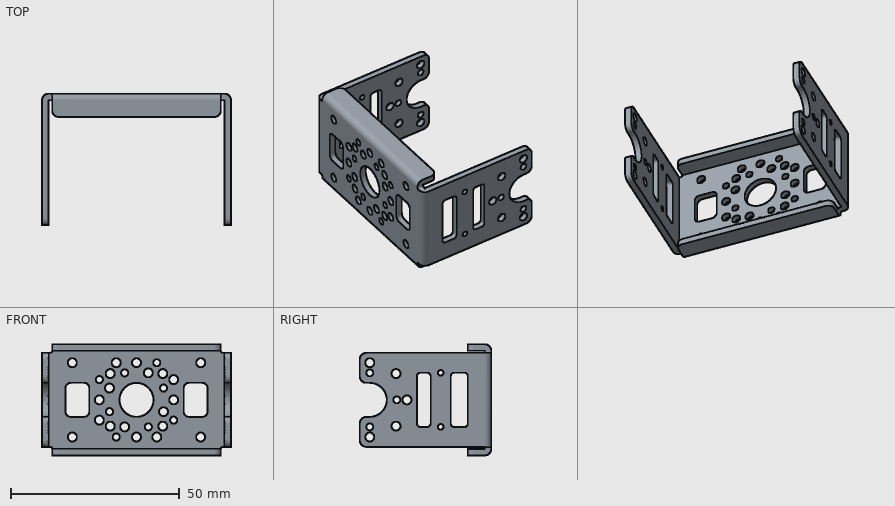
import math

import cadquery as cq


thickness = 2.0
width = 56.0
height = 33.0
arm_reach = 39.0
flange_reach = 7.0
flange_length = 50.0
bend_radius = thickness

horn_radius = 14.0
arm_height = 2 * horn_radius
horn_y = -36.0
horn_notch_radius = 5.0
corner_radius = 2.0
relief_radius = 0.4

horn_screw_diameter = 2.6
horn_screw_circle = 11.0
horn_pin_diameter = 2.0
horn_pin_circle = 8.0

arm_slot_height = 16.0
arm_slot_corner = 1.0
rear_slot_y = -9.5
rear_slot_width = 5.0
front_slot_y = -20.0
front_slot_width = 4.0
arm_tap_y = -15.0
arm_tap_z = 8.0
arm_tap_diameter = 1.6

web_bore_diameter = 10.0
web_hole_diameter = 2.6
web_tap_diameter = 2.05
window_x = 17.5
window_width = 7.0
window_height = 10.0
window_corner = 1.5
grid_reach = 11.0
grid_offset = 6.0
mount_x = 19.0
inner_long = 8.0
inner_short = 3.5

arm_outer_x = width / 2
arm_inner_x = arm_outer_x - thickness
flange_inner_z = height / 2 - thickness
half_arm = arm_height / 2


def box_between(x_range, y_range, z_range):
    """Axis-aligned box spanning three (low, high) ranges."""
    spans = [high - low for low, high in (x_range, y_range, z_range)]
    corner = (x_range[0], y_range[0], z_range[0])
    return cq.Workplane("XY").box(*spans, centered=False).translate(corner)


def along_y(points, diameter):
    """Round cutters through the web at (x, z) points."""
    web_outer_face = cq.Workplane("XZ")
    return web_outer_face.pushPoints(points).circle(diameter / 2).extrude(thickness)


def along_x(points, diameter):
    """Round cutters through both arms at (y, z) points."""
    outer_plane = cq.Workplane("YZ", origin=(-arm_outer_x, 0, 0))
    return outer_plane.pushPoints(points).circle(diameter / 2).extrude(width)


def quarter_turns(x, z):
    """A point repeated four times about the Y axis."""
    return [(x, z), (-z, x), (-x, -z), (z, -x)]


def make_arms():
    """Both arms, cut from one full-width bar with the arm's side outline."""
    blank = box_between(
        (-arm_outer_x, arm_outer_x), (-arm_reach, 0), (-half_arm, half_arm)
    )
    rounded_end = cq.Workplane("YZ", origin=(-arm_outer_x, 0, 0)).center(horn_y, 0)
    rounded_end = rounded_end.circle(horn_radius).extrude(width)
    rear_part = box_between((-arm_outer_x, arm_outer_x), (horn_y, 0), (-half_arm, half_arm))
    profile = blank.intersect(rounded_end.union(rear_part))
    notch = along_x([(horn_y, 0)], 2 * horn_notch_radius)
    notch_mouth = box_between(
        (-arm_outer_x, arm_outer_x),
        (-arm_reach, horn_y),
        (-horn_notch_radius, horn_notch_radius),
    )
    profile = profile.cut(notch.union(notch_mouth))
    profile = profile.faces("<Y").edges("|X").fillet(corner_radius)
    profile = profile.edges("|Z and >Y").fillet(bend_radius)
    between_arms = box_between(
        (-arm_inner_x, arm_inner_x), (-arm_reach, -thickness), (-half_arm, half_arm)
    )
    return profile.cut(between_arms)


def make_flanges():
    """Top and bottom flanges together with the strip of web that joins them."""
    half_length = flange_length / 2
    channel = box_between(
        (-half_length, half_length), (-flange_reach, 0), (-height / 2, height / 2)
    )
    channel = channel.edges("|X and >Y").fillet(bend_radius)
    channel = channel.edges("|Z and <Y").fillet(corner_radius)
    between_flanges = box_between(
        (-half_length, half_length),
        (-flange_reach, -thickness),
        (-flange_inner_z, flange_inner_z),
    )
    return channel.cut(between_flanges)


def make_corner_reliefs():
    """Small concave fillets where the flange strip meets the arm strip."""
    corner_x = flange_length / 2
    fillets = (
        cq.Workplane("XZ")
        .moveTo(corner_x, half_arm)
        .lineTo(corner_x + relief_radius, half_arm)
        .radiusArc((corner_x, half_arm + relief_radius), relief_radius)
        .close()
        .extrude(thickness)
    )
    fillets = fillets.union(fillets.mirror("YZ"))
    return fillets.union(fillets.mirror("XY"))


def cut_web_openings(body):
    """Bore, windows, clearance holes and tapped holes of the web."""
    body = body.cut(along_y([(0, 0)], web_bore_diameter))
    windows = cq.Workplane("XZ").pushPoints([(-window_x, 0), (window_x, 0)])
    windows = windows.rect(window_width, window_height).extrude(thickness)
    body = body.cut(windows.edges("|Y").fillet(window_corner))

    diagonal = grid_reach * math.sqrt(0.5)
    clear_points = [(x, z) for x in (-mount_x, mount_x) for z in (-grid_reach, grid_reach)]
    clear_points += quarter_turns(grid_reach, 0)
    clear_points += quarter_turns(diagonal, diagonal)
    clear_points += quarter_turns(grid_reach, grid_offset)
    clear_points += quarter_turns(inner_short, inner_long)
    body = body.cut(along_y(clear_points, web_hole_diameter))

    tap_points = quarter_turns(grid_offset, grid_reach)
    tap_points += quarter_turns(inner_long, inner_short)
    return body.cut(along_y(tap_points, web_tap_diameter))


def cut_arm_openings(body):
    """Slots, horn hole pattern and tapped holes, the same in both arms."""
    slots = ((rear_slot_y, rear_slot_width), (front_slot_y, front_slot_width))
    for slot_y, slot_width in slots:
        slot = cq.Workplane("YZ", origin=(-arm_outer_x, 0, 0)).center(slot_y, 0)
        slot = slot.rect(slot_width, arm_slot_height).extrude(width)
        body = body.cut(slot.edges("|X").fillet(arm_slot_corner))

    diagonal = horn_screw_circle * math.sqrt(0.5)
    screw_points = [(horn_y + horn_screw_circle, 0)]
    pin_points = [(horn_y + horn_pin_circle, 0)]
    tap_points = []
    for side in (-1, 1):
        screw_points.append((horn_y, side * horn_screw_circle))
        screw_points.append((horn_y + diagonal, side * diagonal))
        pin_points.append((horn_y, side * horn_pin_circle))
        tap_points.append((arm_tap_y, side * arm_tap_z))
    body = body.cut(along_x(screw_points, horn_screw_diameter))
    body = body.cut(along_x(pin_points, horn_pin_diameter))
    return body.cut(along_x(tap_points, arm_tap_diameter))


bracket = make_arms().union(make_flanges()).union(make_corner_reliefs())
bracket = cut_web_openings(bracket)
result = cut_arm_openings(bracket)